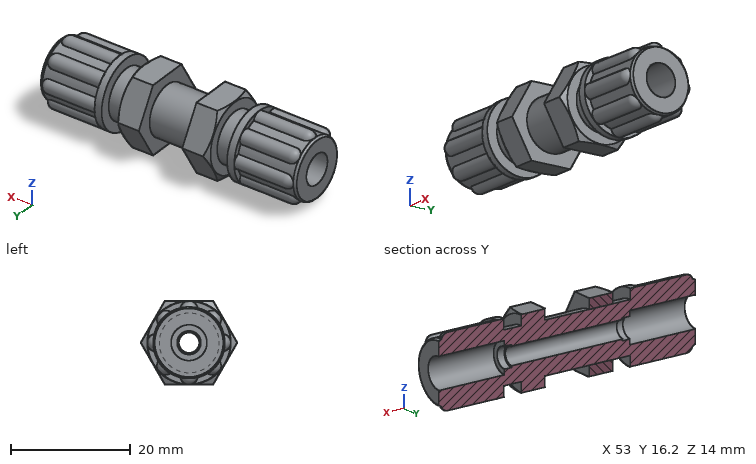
import cadquery as cq
import math

length = 53.0
half_length = length / 2
tube_diameter = 10.0

hex_across_flats = 14.0
hex_thickness = 5.0
hex_inner_face = 4.5
hex_chamfer_angle = 30.0
hex_face_diameter = 13.8
hex_corner_radius = hex_across_flats / math.sqrt(3)

cap_length = 13.5
collar_diameter = 14.0
collar_width = 1.5
grip_diameter = 12.0
grip_end_diameter = 11.45
grip_taper_length = 0.55

rib_count = 8
rib_radius = 1.5
rib_tip_setback = 1.9
rib_centre_radius = collar_diameter / 2 - rib_radius

bore_diameter = 3.4
bore_mouth_diameter = 4.0
socket_diameter = 6.0
socket_depth = cap_length
bore_mouth_depth = 1.5


def revolve_about_x(points):
    """Solid of revolution from (x, radius) points."""
    return cq.Workplane("XY").polyline(points).close().revolve(360, (0, 0, 0), (1, 0, 0))


def make_chamfered_hex():
    """Hexagon on the +X half with its corners chamfered on the outer face."""
    outer_face = hex_inner_face + hex_thickness
    face_radius = hex_face_diameter / 2
    drop = (hex_corner_radius - face_radius) * math.tan(math.radians(hex_chamfer_angle))
    prism = (
        cq.Workplane("YZ", origin=(hex_inner_face, 0, 0))
        .polygon(6, 2 * hex_corner_radius)
        .extrude(hex_thickness)
    )
    envelope = revolve_about_x([
        (hex_inner_face, 0),
        (hex_inner_face, hex_corner_radius),
        (outer_face - drop, hex_corner_radius),
        (outer_face, face_radius),
        (outer_face, 0),
    ])
    return prism.intersect(envelope)


def make_rib():
    """One grip rib at the top of the +X cap, with a ball at its outer end."""
    start = half_length - cap_length
    tip_centre = half_length - rib_tip_setback
    rod = (
        cq.Workplane("YZ", origin=(start, 0, rib_centre_radius))
        .circle(rib_radius)
        .extrude(tip_centre - start)
    )
    ball = cq.Workplane("XY", origin=(tip_centre, 0, rib_centre_radius)).sphere(rib_radius)
    return rod.union(ball)


def make_cap():
    """Collar, tapered grip and ribs of the +X cap."""
    inner_face = half_length - cap_length
    collar_end = inner_face + collar_width
    cap = revolve_about_x([
        (inner_face, 0),
        (inner_face, collar_diameter / 2),
        (collar_end, collar_diameter / 2),
        (collar_end, grip_diameter / 2),
        (half_length - grip_taper_length, grip_diameter / 2),
        (half_length, grip_end_diameter / 2),
        (half_length, 0),
    ])
    rib = make_rib()
    for index in range(rib_count):
        cap = cap.union(rib.rotate((0, 0, 0), (1, 0, 0), index * 360 / rib_count))
    return cap


def make_bore():
    """Through bore with a socket at each end and a wider mouth below each socket floor."""
    socket_floor = half_length - socket_depth
    half_bore = revolve_about_x([
        (0, 0),
        (0, bore_diameter / 2),
        (socket_floor - bore_mouth_depth, bore_diameter / 2),
        (socket_floor - bore_mouth_depth, bore_mouth_diameter / 2),
        (socket_floor, bore_mouth_diameter / 2),
        (socket_floor, socket_diameter / 2),
        (half_length, socket_diameter / 2),
        (half_length, 0),
    ])
    return half_bore.union(half_bore.mirror("YZ"))


def make_fitting():
    """Tube with both caps, the fixed hexagon and the bore."""
    tube_length = length - 2 * cap_length
    tube = (
        cq.Workplane("YZ", origin=(-tube_length / 2, 0, 0))
        .circle(tube_diameter / 2)
        .extrude(tube_length)
    )
    cap = make_cap()
    fixed_hex = make_chamfered_hex()
    solid = tube.union(cap).union(cap.mirror("YZ")).union(fixed_hex)
    return solid.cut(make_bore())


def make_lock_nut():
    """Loose hexagon nut that fits around the tube on the -X side."""
    hole = (
        cq.Workplane("YZ", origin=(hex_inner_face, 0, 0))
        .circle(tube_diameter / 2)
        .extrude(hex_thickness)
    )
    return make_chamfered_hex().cut(hole).mirror("YZ")


fitting = make_fitting()
lock_nut = make_lock_nut()

result = cq.Compound.makeCompound([fitting.val(), lock_nut.val()])